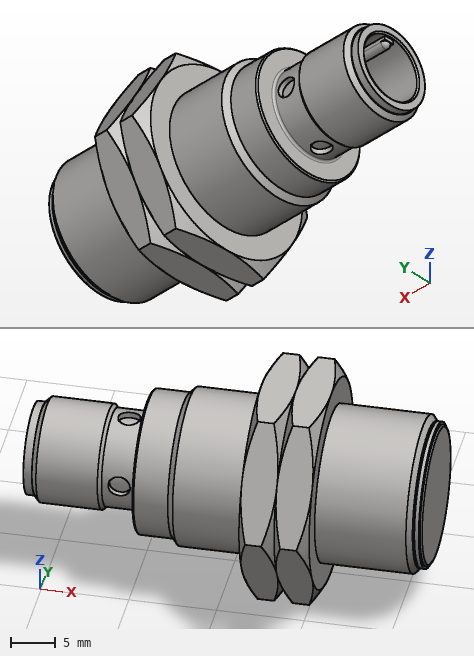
import cadquery as cq
import math

tip_length = 1.0
thread_chamfer_end = 1.6
thread_end = 8.6
shoulder_x = 13.0
collar_end = 17.1
barrel_start = 17.8
barrel_end = 44.4
cap_groove_start = 45.0
cap_rim_start = 45.2
cap_rim_end = 45.7
total_length = 46.0

tip_radius = 5.3
thread_chamfer_radius = 5.4
thread_radius = 6.0
neck_radius = 5.6
collar_radius = 8.25
barrel_radius = 9.0
cap_groove_radius = 8.15
cap_rim_radius = 8.3
cap_face_radius = 8.0

neck_fillet = 0.3
collar_chamfer = 0.2
cap_chamfer = 0.2

socket_radius = 4.2
socket_depth = 9.0
socket_chamfer = 0.2
key_width = 1.3
key_inner_reach = 3.0
key_start = 0.4

recess_x = 11.0
recess_radius = 1.25
recess_floor_radius = 4.9
recess_count = 4

nut_sides = 6
nut_across_flats = 24.0
nut_thickness = 4.0
nut_chamfer_angle = 30.0
first_nut_x = 26.0
nut_count = 2


def cylinder_x(radius, start, end):
    """Cylinder around the X axis between two stations."""
    return cq.Workplane("YZ", origin=(start, 0, 0)).circle(radius).extrude(end - start)


def make_turned_blank():
    """Solid of revolution that carries every outside step of the housing."""
    neck_drop = thread_radius - neck_radius
    fillet_middle = neck_fillet * (1 - math.sqrt(0.5))
    profile = (
        cq.Workplane("XY")
        .moveTo(0, 0)
        .lineTo(0, tip_radius)
        .lineTo(tip_length, tip_radius)
        .lineTo(tip_length, thread_chamfer_radius)
        .lineTo(thread_chamfer_end, thread_radius)
        .lineTo(thread_end, thread_radius)
        .lineTo(thread_end + neck_drop, neck_radius)
        .lineTo(shoulder_x - neck_fillet, neck_radius)
        .threePointArc(
            (shoulder_x - fillet_middle, neck_radius + fillet_middle),
            (shoulder_x, neck_radius + neck_fillet),
        )
        .lineTo(shoulder_x, collar_radius - collar_chamfer)
        .lineTo(shoulder_x + collar_chamfer, collar_radius)
        .lineTo(collar_end, collar_radius)
        .lineTo(barrel_start, barrel_radius)
        .lineTo(barrel_end, barrel_radius)
        .lineTo(cap_groove_start, cap_rim_radius)
        .lineTo(cap_groove_start, cap_groove_radius)
        .lineTo(cap_rim_start, cap_groove_radius)
        .lineTo(cap_rim_start, cap_rim_radius)
        .lineTo(cap_rim_end, cap_rim_radius)
        .lineTo(cap_rim_end, cap_face_radius)
        .lineTo(total_length - cap_chamfer, cap_face_radius)
        .lineTo(total_length, cap_face_radius - cap_chamfer)
        .lineTo(total_length, 0)
        .close()
    )
    return profile.revolve(360, (0, 0, 0), (1, 0, 0))


def make_key():
    """Rib along the top of the socket: a flat-fronted web with a round nose ending in a ball."""
    nose_radius = key_width / 2
    nose_centre_z = key_inner_reach + nose_radius
    web_height = (socket_radius + tip_radius) / 2 - nose_centre_z
    key_length = socket_depth - key_start
    web = (
        cq.Workplane("XY", origin=(key_start, 0, nose_centre_z))
        .box(key_length, key_width, web_height, centered=(False, True, False))
    )
    ball_x = key_start + nose_radius
    nose = cylinder_x(nose_radius, ball_x, socket_depth).translate((0, 0, nose_centre_z))
    ball = cq.Workplane("XY", origin=(ball_x, 0, nose_centre_z)).sphere(nose_radius)
    return web.union(nose).union(ball)


def make_socket():
    """Volume removed for the socket: chamfered bore less the keying rib."""
    mouth_radius = socket_radius + socket_chamfer
    bore = (
        cq.Workplane("XY")
        .moveTo(0, 0)
        .lineTo(0, mouth_radius)
        .lineTo(socket_chamfer, socket_radius)
        .lineTo(socket_depth, socket_radius)
        .lineTo(socket_depth, 0)
        .close()
        .revolve(360, (0, 0, 0), (1, 0, 0))
    )
    return bore.cut(make_key())


def make_neck_recesses():
    """Radial round recesses whose floors follow a cylinder around the axis."""
    floor_core = cylinder_x(recess_floor_radius, thread_end, shoulder_x)
    drill = cq.Workplane("XY", origin=(recess_x, 0, 0)).circle(recess_radius).extrude(thread_radius)
    recess = drill.cut(floor_core)
    return [
        recess.rotate((0, 0, 0), (1, 0, 0), index * 360 / recess_count)
        for index in range(recess_count)
    ]


def make_housing():
    body = make_turned_blank().cut(make_socket())
    for recess in make_neck_recesses():
        body = body.cut(recess)
    return body


def make_nut(start_x):
    """Hexagon nut with corners on Y, both ends chamfered down to the flats."""
    flat_radius = nut_across_flats / 2
    corner_radius = flat_radius / math.cos(math.pi / nut_sides)
    chamfer_depth = (corner_radius - flat_radius) * math.tan(math.radians(nut_chamfer_angle))
    hexagon = (
        cq.Workplane("YZ", origin=(start_x, 0, 0))
        .polygon(nut_sides, 2 * corner_radius)
        .circle(barrel_radius)
        .extrude(nut_thickness)
    )
    chamfer_envelope = (
        cq.Workplane("XY", origin=(start_x, 0, 0))
        .moveTo(0, 0)
        .lineTo(0, flat_radius)
        .lineTo(chamfer_depth, corner_radius)
        .lineTo(nut_thickness - chamfer_depth, corner_radius)
        .lineTo(nut_thickness, flat_radius)
        .lineTo(nut_thickness, 0)
        .close()
        .revolve(360, (0, 0, 0), (1, 0, 0))
    )
    return hexagon.intersect(chamfer_envelope)


housing = make_housing()
nuts = [make_nut(first_nut_x + index * nut_thickness) for index in range(nut_count)]

result = cq.Compound.makeCompound([housing.solids().val(), *[nut.solids().val() for nut in nuts]])